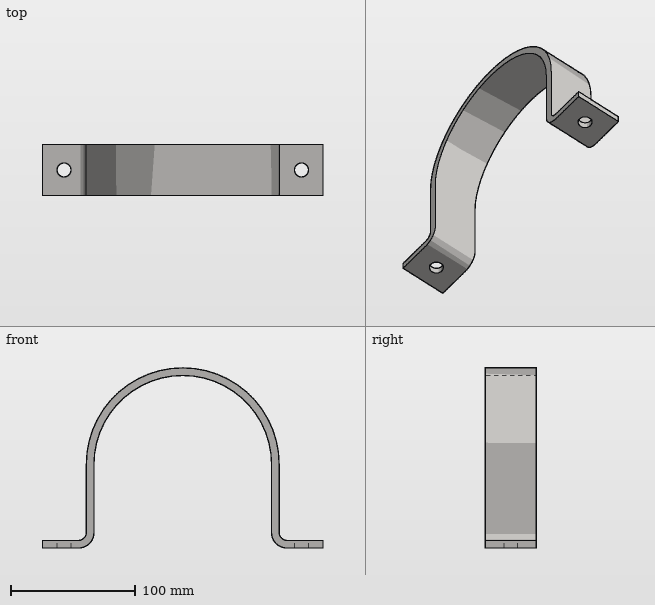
import cadquery as cq

length = 226.2
width = 41.2
height = 145.5

thickness = 6.3
arch_radius = 77.8
bend_radius = 6.3
hole_diameter = 11.0
hole_edge_distance = 17.5

half_length = length / 2
arch_inner_radius = arch_radius - thickness
arch_center_z = height - arch_radius
bend_outer_radius = bend_radius + thickness
bend_center_x = arch_radius + bend_radius
bend_center_z = thickness + bend_radius
hole_x = half_length - hole_edge_distance


def make_strap():
    """Bent bar: two flat feet, two upright legs and a half-round arch."""
    return (
        cq.Workplane("XZ")
        .moveTo(-half_length, 0)
        .lineTo(-bend_center_x, 0)
        .radiusArc((-arch_inner_radius, bend_center_z), -bend_outer_radius)
        .lineTo(-arch_inner_radius, arch_center_z)
        .threePointArc((0, arch_center_z + arch_inner_radius), (arch_inner_radius, arch_center_z))
        .lineTo(arch_inner_radius, bend_center_z)
        .radiusArc((bend_center_x, 0), -bend_outer_radius)
        .lineTo(half_length, 0)
        .lineTo(half_length, thickness)
        .lineTo(bend_center_x, thickness)
        .radiusArc((arch_radius, bend_center_z), bend_radius)
        .lineTo(arch_radius, arch_center_z)
        .threePointArc((0, height), (-arch_radius, arch_center_z))
        .lineTo(-arch_radius, bend_center_z)
        .radiusArc((-bend_center_x, thickness), bend_radius)
        .lineTo(-half_length, thickness)
        .close()
        .extrude(width / 2, both=True)
    )


def make_foot_holes():
    """One vertical bolt hole through each foot."""
    return (
        cq.Workplane("XY")
        .pushPoints([(-hole_x, 0), (hole_x, 0)])
        .circle(hole_diameter / 2)
        .extrude(thickness)
    )


result = make_strap().cut(make_foot_holes())